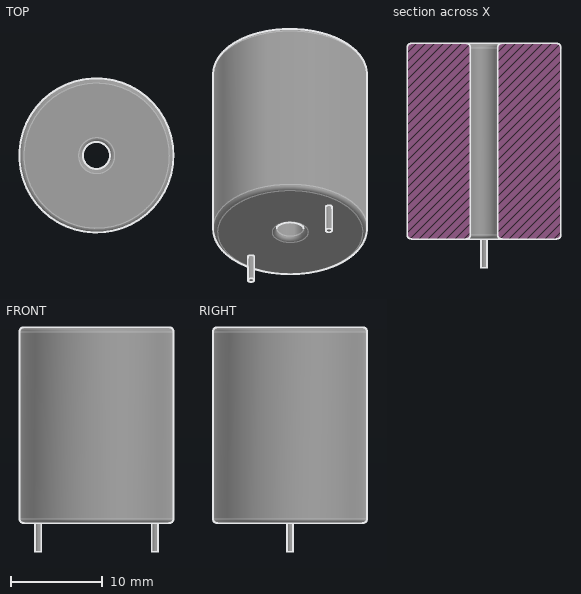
import cadquery as cq

overall_height = 24.44
pin_length = 3.1
body_height = overall_height - pin_length
body_diameter = 16.8
hole_diameter = 2.92
edge_radius = 0.5

pin_diameter = 0.7
pin_spacing = 12.7


def make_body():
    """Cylinder with a through hole, rounded on every circular edge."""
    body_profile = cq.Workplane("XY").circle(body_diameter / 2).circle(hole_diameter / 2)
    return body_profile.extrude(body_height).edges("%CIRCLE").fillet(edge_radius)


def make_pins():
    """Pins hanging from the underside of the body."""
    pin_places = [(-pin_spacing / 2, 0), (pin_spacing / 2, 0)]
    return cq.Workplane("XY").pushPoints(pin_places).circle(pin_diameter / 2).extrude(-pin_length)


result = make_body().union(make_pins())